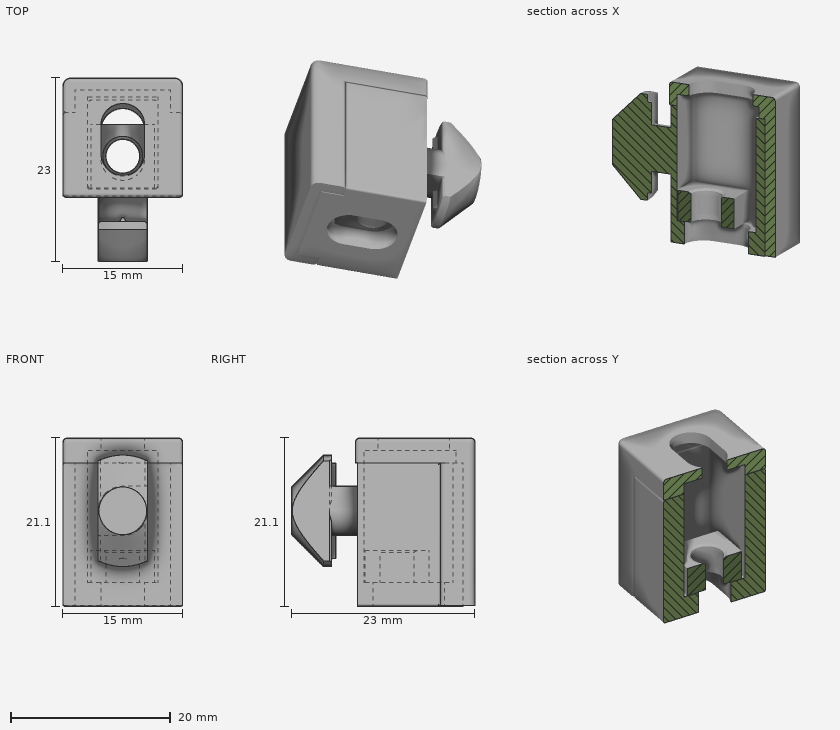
import cadquery as cq
import math


width = 15.0
cap_depth = 15.0
total_length = 23.0
total_height = 21.1

block_height = 18.0
block_front = 14.77
shoulder_back = 4.35
block_fillet = 0.3
tongue_width = 12.0
floor_thickness = 3.0

nut_side = 8.0
nut_thickness = 4.0
nut_hole_diameter = 4.23
nut_countersink_diameter = 5.0
nut_countersink_angle = 120
nut_back = 5.8
pocket_width = 8.83
pocket_back = 2.75
nut_clearance = 0.1
pocket_front = nut_back + nut_side + nut_clearance
pocket_center_y = -(pocket_back + pocket_front) / 2
pocket_corner_radius = 0.5

slot_length = 9.0
slot_width = 5.5
cap_slot_center_y = -7.68

cap_bottom = 0.1
cap_back_radius = 1.01
cap_edge_fillet = 0.5
cap_wall = 1.5
cap_top_thickness = 1.56
cavity_back = 2.4

head_axis_z = 11.98
head_width = 6.16
head_radius = 7.0
head_tip_radius = 3.0
head_rim_length = 1.01
head_cone_length = head_radius - head_tip_radius
head_back_y = head_rim_length + head_cone_length - total_length
head_chamfer = 0.28
shank_radius = head_width / 2
ridge_length = 11.95
ridge_height = 0.53
ridge_base_width = 0.83
ridge_crest_width = 0.18
ridge_fillet = 0.1


def box(x_size, y_back, y_front, z_bottom, z_top):
    """Box centred on X; y_back and y_front are distances from the cap's back."""
    return cq.Workplane("XY").box(
        x_size, y_front - y_back, z_top - z_bottom, centered=(True, False, False)
    ).translate((0, -y_front, z_bottom))


def screw_slot(center_y):
    """Vertical slot, long along Y, through the full height."""
    return (
        cq.Workplane("XY").center(0, center_y)
        .slot2D(slot_length, slot_width, 90).extrude(total_height)
    )


def make_cap():
    """Cap with a top, a rim over the block and a back wall that wraps the block's tongue."""
    back_wall = box(width, 0, shoulder_back, cap_bottom, total_height)
    top = box(width, 0, cap_depth, block_height, total_height)
    cap = back_wall.edges("|Z and <Y").fillet(cap_edge_fillet)
    cap = cap.union(top.edges("|Z and <Y").fillet(cap_edge_fillet))
    cap = cap.edges("|Z and >Y").fillet(cap_back_radius)
    cap = cap.faces(">Z").edges().fillet(cap_edge_fillet)
    tongue_recess = box(tongue_width, cap_wall, shoulder_back, cap_bottom, block_height)
    cavity = box(pocket_width, cavity_back, pocket_front, block_height, total_height - cap_top_thickness)
    return cap.cut(tongue_recess).cut(cavity).cut(screw_slot(cap_slot_center_y))


def make_head():
    """Round head with a conical tip, cut to two flat sides, with its back edges chamfered."""
    profile = [
        (head_back_y, 0),
        (head_back_y, head_radius),
        (head_back_y - head_rim_length, head_radius),
        (-total_length, head_tip_radius),
        (-total_length, 0),
    ]
    head = cq.Workplane("YZ").polyline(profile).close().revolve(360, (0, 0, 0), (1, 0, 0))
    flats = cq.Workplane("XY").box(head_width, 2 * total_length, 2 * head_radius)
    head = head.intersect(flats)
    return head.faces(">Y").edges("|Z").chamfer(head_chamfer)


def make_shank():
    """Shank from the block into the head: two opposite quarters are round, the other two are square."""
    r = shank_radius
    diagonal = r * math.sqrt(0.5)
    return (
        cq.Workplane("XZ", origin=(0, -block_front, 0))
        .moveTo(-r, 0)
        .threePointArc((-diagonal, diagonal), (0, r))
        .lineTo(r, r)
        .lineTo(r, 0)
        .threePointArc((diagonal, -diagonal), (0, -r))
        .lineTo(-r, -r)
        .close()
        .extrude(-head_back_y - block_front + head_chamfer)
    )


def make_ridge():
    """Ridge along the back of the head that bites into the profile."""
    ridge = (
        cq.Workplane("XY", origin=(0, head_back_y, -ridge_length / 2))
        .polyline([
            (-ridge_base_width / 2, 0),
            (-ridge_crest_width / 2, ridge_height),
            (ridge_crest_width / 2, ridge_height),
            (ridge_base_width / 2, 0),
        ])
        .close()
        .extrude(ridge_length)
    )
    return ridge.faces(">Y").edges().fillet(ridge_fillet)


def make_hammer():
    """Head with its ridge, blended at the root, and the shank."""
    hammer = make_head().union(make_ridge())
    root = cq.selectors.BoxSelector(
        (-ridge_base_width, head_back_y - ridge_fillet, -ridge_length / 2 - ridge_fillet),
        (ridge_base_width, head_back_y + ridge_fillet, ridge_length / 2 + ridge_fillet),
    )
    hammer = hammer.edges(root).fillet(ridge_fillet)
    return hammer.union(make_shank())


def make_block():
    """Block with its tongue, hammer head, nut pocket and screw slot."""
    block = box(width, shoulder_back, block_front, 0, block_height)
    block = block.edges("|Y or (|Z and >Y)").fillet(block_fillet)
    block = block.union(box(tongue_width, cap_wall, shoulder_back + block_fillet, 0, block_height))
    block = block.union(make_hammer().translate((0, 0, head_axis_z)))
    pocket = box(pocket_width, pocket_back, pocket_front, floor_thickness, block_height)
    pocket = pocket.edges("|Z").fillet(pocket_corner_radius)
    return block.cut(pocket).cut(screw_slot(pocket_center_y))


def make_nut():
    """Square nut on the pocket's floor, at its front end."""
    nut = box(nut_side, nut_back, nut_back + nut_side, floor_thickness, floor_thickness + nut_thickness)
    return (
        nut.faces(">Z").workplane(centerOption="CenterOfBoundBox")
        .cskHole(nut_hole_diameter, nut_countersink_diameter, nut_countersink_angle)
    )


cap = make_cap()
block = make_block()
nut = make_nut()
result = cq.Compound.makeCompound([cap.val(), block.val(), nut.val()])